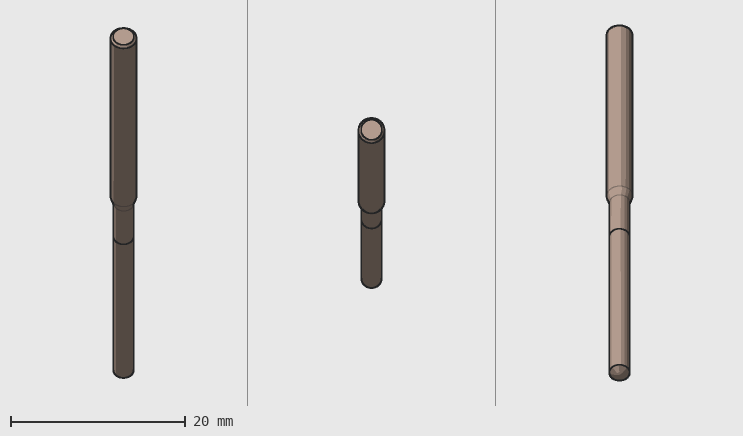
import cadquery as cq
import math

total_length = 62.0
shank_diameter = 3.0
cutter_diameter = 2.35

shank_length = 29.4
cutter_length = 25.2
end_chamfer_height = 0.3
end_chamfer_width = 0.3

shoulder_angle = 30.0
point_angle = 130.0

shank_radius = shank_diameter / 2
cutter_radius = cutter_diameter / 2


def cone_height(radius_change, included_angle):
    """Axial length over which a cone changes its radius by the given amount."""
    return radius_change / math.tan(math.radians(included_angle / 2))


def revolve_profile(points):
    """Solid of revolution about Z from (radius, height) points."""
    return cq.Workplane("XZ").polyline(points).close().revolve(360, (0, 0, 0), (0, 1, 0))


def make_shank():
    shoulder_top = total_length - shank_length
    neck_top = shoulder_top - cone_height(shank_radius - cutter_radius, shoulder_angle)
    return revolve_profile([
        (0, cutter_length),
        (cutter_radius, cutter_length),
        (cutter_radius, neck_top),
        (shank_radius, shoulder_top),
        (shank_radius, total_length - end_chamfer_height),
        (shank_radius - end_chamfer_width, total_length),
        (0, total_length),
    ])


def make_cutter():
    return revolve_profile([
        (0, 0),
        (cutter_radius, cone_height(cutter_radius, point_angle)),
        (cutter_radius, cutter_length),
        (0, cutter_length),
    ])


shank = make_shank()
cutter = make_cutter()

result = cq.Compound.makeCompound([shank.val(), cutter.val()])